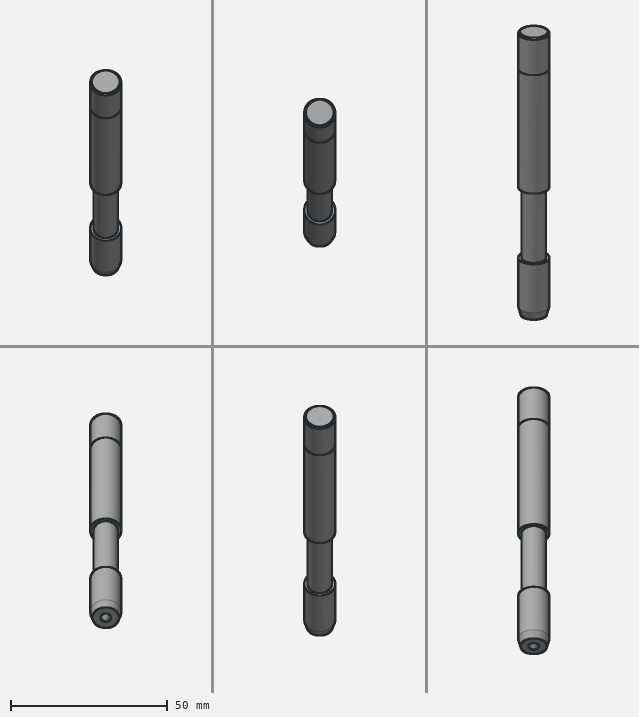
import cadquery as cq

total_length = 101.7
body_diameter = 10.0
neck_diameter = 7.8
nose_diameter = 8.4
tip_diameter = 3.4

tip_height = 1.6
nose_height = 2.8
collar_height = 17.2
neck_height = 25.0
cap_height = 13.0
cap_chamfer = 0.5

collar_bottom = tip_height + nose_height
neck_bottom = collar_bottom + collar_height
neck_top = neck_bottom + neck_height
cap_bottom = total_length - cap_height


def make_pin():
    """Turned pin: pointed tip, tapered nose, collar, neck and shank."""
    body_radius = body_diameter / 2
    neck_radius = neck_diameter / 2
    half_profile = [
        (0, 0),
        (tip_diameter / 2, tip_height),
        (nose_diameter / 2, tip_height),
        (body_radius, collar_bottom),
        (body_radius, neck_bottom),
        (neck_radius, neck_bottom),
        (neck_radius, neck_top),
        (body_radius, neck_top),
        (body_radius, cap_bottom),
        (0, cap_bottom),
    ]
    return cq.Workplane("XZ").polyline(half_profile).close().revolve(360, (0, 0), (0, 1))


def make_cap():
    """Cylindrical cap seated on the flat end of the shank, chamfered on top."""
    cap = cq.Workplane("XY").workplane(offset=cap_bottom).circle(body_diameter / 2).extrude(cap_height)
    return cap.faces(">Z").edges().chamfer(cap_chamfer)


pin = make_pin()
cap = make_cap()

result = cq.Compound.makeCompound([pin.val(), cap.val()])